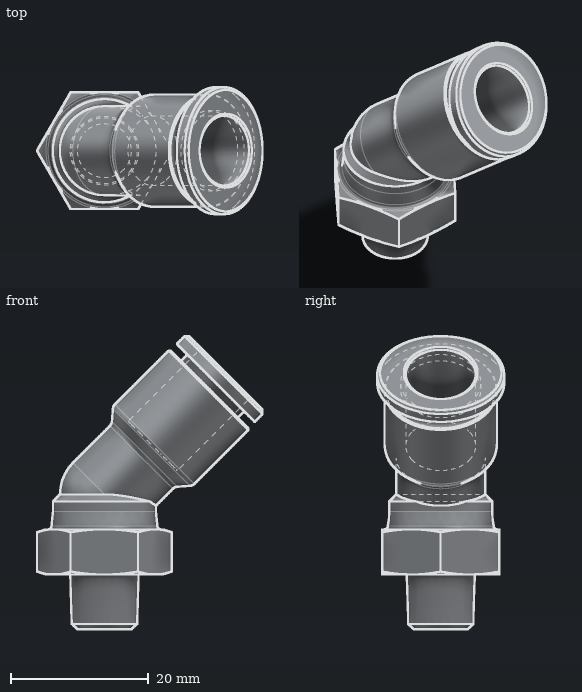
import cadquery as cq
import math

overall_height = 42.65

stem_tip_radius = 3.92
stem_bottom_radius = 4.78
stem_top_radius = 5.0
stem_chamfer_height = 0.8
stem_length = 7.98

hex_flats = 17.0
hex_height = 6.55
hex_corner_drop = 0.43
hex_top = stem_length + hex_height

collar_foot_fillet = 0.45
collar_base_radius = 7.7
collar_radius = 7.5
collar_taper_height = 2.1
collar_straight_height = 1.5

neck_radius = 6.5
tilt_angle = 45

shoulder_start = 7.98
shoulder_end = 9.95
shoulder_fillet = 1.0
socket_radius = 8.2
socket_top = 21.6
socket_edge_chamfer = 0.15

sleeve_radius = 5.85
flange_bottom = 22.9
flange_top = 24.95
flange_long_radius = 9.25
flange_short_radius = 8.0
flange_chamfer = 0.43
bore_radius = 5.08
bore_mouth_chamfer = 0.3
bore_bottom = shoulder_end

rim_rise = (
    (flange_top - flange_chamfer) * math.cos(math.radians(tilt_angle))
    + flange_short_radius * math.sin(math.radians(tilt_angle))
)
bend_height = overall_height - rim_rise


def revolved(profile):
    """Solid of revolution about Z from a closed (radius, height) outline."""
    return cq.Workplane("XZ").polyline(profile).close().revolve(360, (0, 0, 0), (0, 1, 0))


def make_stem():
    return revolved([
        (0, 0),
        (stem_tip_radius, 0),
        (stem_bottom_radius, stem_chamfer_height),
        (stem_top_radius, stem_length),
        (0, stem_length),
    ])


def make_hex():
    """Hexagon with two corners on the X axis, its corners cut by shallow cones."""
    flat_radius = hex_flats / 2
    corner_radius = flat_radius / math.cos(math.radians(30))
    prism = (
        cq.Workplane("XY")
        .workplane(offset=stem_length)
        .polygon(6, 2 * corner_radius)
        .extrude(hex_height)
    )
    envelope = revolved([
        (0, stem_length),
        (flat_radius, stem_length),
        (corner_radius, stem_length + hex_corner_drop),
        (corner_radius, hex_top - hex_corner_drop),
        (flat_radius, hex_top),
        (0, hex_top),
    ])
    return prism.intersect(envelope)


def make_collar():
    """Tapered collar with a concave foot on the nut and a bevel up to the elbow."""
    taper_bottom = hex_top + collar_foot_fillet
    foot_radius = collar_base_radius + collar_foot_fillet
    taper_top = taper_bottom + collar_taper_height
    arc_inset = collar_foot_fillet * math.sin(math.radians(45))
    foot_middle = (foot_radius - arc_inset, taper_bottom - arc_inset)
    return (
        cq.Workplane("XZ")
        .moveTo(0, hex_top)
        .lineTo(foot_radius, hex_top)
        .threePointArc(foot_middle, (collar_base_radius, taper_bottom))
        .lineTo(collar_radius, taper_top)
        .lineTo(collar_radius, taper_top + collar_straight_height)
        .lineTo(neck_radius, bend_height)
        .lineTo(0, bend_height)
        .close()
        .revolve(360, (0, 0, 0), (0, 1, 0))
    )


def make_socket():
    """Neck widening through a rounded conical shoulder into the socket body."""
    body = revolved([
        (0, 0),
        (neck_radius, 0),
        (neck_radius, shoulder_start),
        (socket_radius, shoulder_end),
        (socket_radius, socket_top),
        (0, socket_top),
    ])
    body = body.faces("%CONE").edges("%CIRCLE").fillet(shoulder_fillet)
    return body.faces(">Z").edges().chamfer(socket_edge_chamfer)


def make_sleeve():
    neck = (
        cq.Workplane("XY")
        .workplane(offset=socket_top)
        .circle(sleeve_radius)
        .extrude(flange_bottom - socket_top)
    )
    flange = (
        cq.Workplane("XY")
        .workplane(offset=flange_bottom)
        .ellipse(flange_short_radius, flange_long_radius)
        .extrude(flange_top - flange_bottom)
        .faces(">Z").edges().chamfer(flange_chamfer)
    )
    return neck.union(flange)


def make_bore():
    return revolved([
        (0, bore_bottom),
        (bore_radius, bore_bottom),
        (bore_radius, flange_top - bore_mouth_chamfer),
        (bore_radius + bore_mouth_chamfer, flange_top),
        (0, flange_top),
    ])


def tilted(solid):
    """Lean a solid built along Z towards +X and set it on the bend."""
    return solid.rotate((0, 0, 0), (0, 1, 0), tilt_angle).translate((0, 0, bend_height))


ball = cq.Workplane("XY").sphere(neck_radius).translate((0, 0, bend_height))
base = make_stem().union(make_hex()).union(make_collar())
arm = tilted(make_socket().union(make_sleeve()))
result = base.union(ball).union(arm).cut(tilted(make_bore()))